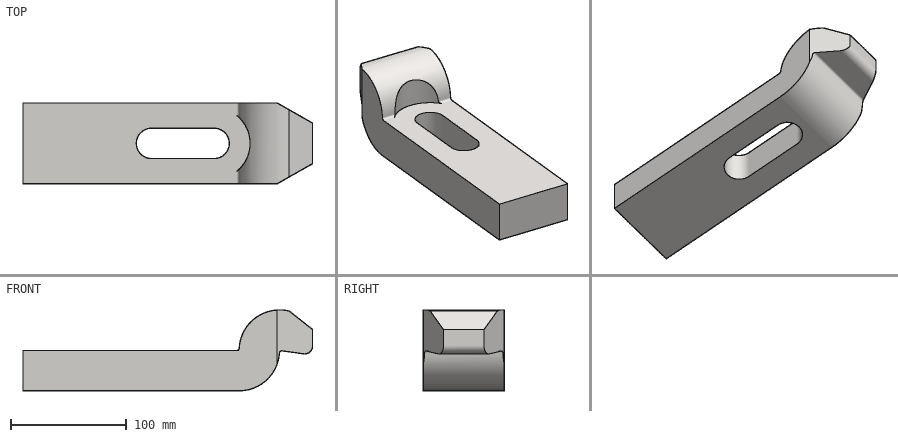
import cadquery as cq
import math


length = 250.0
width = 70.0
bar_height = 35.0
total_height = 2 * bar_height

bend_radius = bar_height
lower_bend_x = 186.5
upper_bend_x = lower_bend_x + bend_radius
heel_fillet = 2.0

nose_top_edge_x = 229.7
nose_top_edge_z = bar_height + math.sqrt(bend_radius**2 - (nose_top_edge_x - upper_bend_x) ** 2)
nose_tip_top_z = 53.0
nose_bottom_angle = 8.0
nose_tip_fillet = 7.0
throat_fillet = 2.0

throat_drop = 0.2
throat_x = lower_bend_x + math.sqrt(bend_radius**2 - throat_drop**2)
throat_z = bar_height - throat_drop
nose_tip_z = throat_z - (length - throat_x) * math.tan(math.radians(nose_bottom_angle))

taper_length = 30.8
tip_width = width / 2

slot_width = 26.0
slot_start_x = 98.0
slot_end_x = 178.0
clearance_radius = 31.0
clearance_x = slot_end_x - slot_width / 2


def make_body():
    """Side outline in the XZ plane, extruded across the full width."""
    diagonal = bend_radius * math.sqrt(0.5)

    outline = (
        cq.Workplane("XZ", origin=(0, width / 2, 0))
        .lineTo(lower_bend_x, 0)
        .threePointArc(
            (lower_bend_x + diagonal, bar_height - diagonal),
            (throat_x, throat_z),
        )
        .lineTo(length, nose_tip_z)
        .lineTo(length, nose_tip_top_z)
        .lineTo(nose_top_edge_x, nose_top_edge_z)
        .threePointArc(
            (upper_bend_x - diagonal, bar_height + diagonal),
            (lower_bend_x, bar_height),
        )
        .lineTo(0, bar_height)
        .close()
    )
    return outline.extrude(width)


def round_edge(body, x, z, radius):
    """Fillet the edge along Y that passes through the given XZ point."""
    edge = cq.selectors.NearestToPointSelector((x, 0, z))
    return body.edges("|Y").edges(edge).fillet(radius)


def taper_nose(body):
    """Trim both sides of the nose toward the narrower tip."""
    taper_start_x = length - taper_length
    plan = (
        cq.Workplane("XY")
        .moveTo(0, -width / 2)
        .lineTo(taper_start_x, -width / 2)
        .lineTo(length, -tip_width / 2)
        .lineTo(length, tip_width / 2)
        .lineTo(taper_start_x, width / 2)
        .lineTo(0, width / 2)
        .close()
        .extrude(total_height)
    )
    return body.intersect(plan)


def make_slot():
    return (
        cq.Workplane("XY")
        .center((slot_start_x + slot_end_x) / 2, 0)
        .slot2D(slot_end_x - slot_start_x, slot_width)
        .extrude(bar_height)
    )


def make_clearance():
    """Vertical cylinder that cuts the bend above the bar's top face."""
    return (
        cq.Workplane("XY", origin=(clearance_x, 0, bar_height))
        .circle(clearance_radius)
        .extrude(bar_height)
    )


body = make_body()
body = round_edge(body, lower_bend_x, bar_height, heel_fillet)
body = round_edge(body, length, nose_tip_z, nose_tip_fillet)
body = round_edge(body, throat_x, throat_z, throat_fillet)
body = taper_nose(body)
result = body.cut(make_slot()).cut(make_clearance())